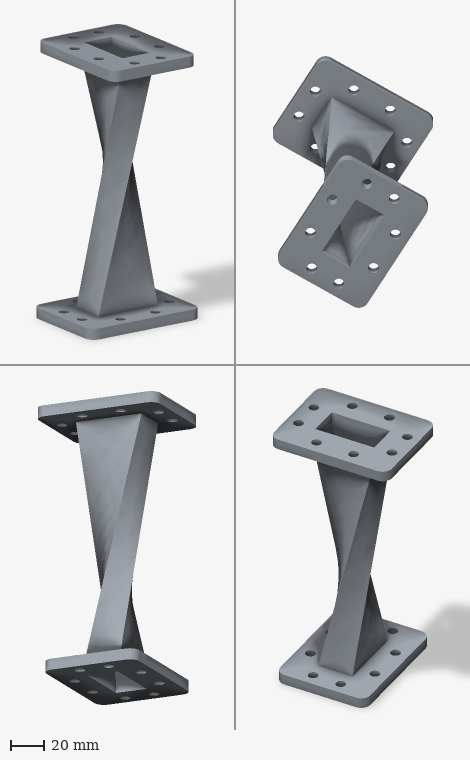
import cadquery as cq

total_length = 170.0

flange_long = 81.0
flange_short = 61.9
flange_thickness = 7.0
flange_corner_radius = 6.3

hole_diameter = 6.5
end_row_spacing = 64.5
end_hole_pitch = 19.0
side_row_spacing = 44.4
side_hole_pitch = 25.5

bore_long = 40.5
bore_short = 20.2
wall = 1.62
tube_long = bore_long + 2 * wall
tube_short = bore_short + 2 * wall

tube_bottom = flange_thickness
tube_top = total_length - flange_thickness


def flange():
    """Flange lying on the XY plane with its long side along X, bolt holes and bore cut through."""
    plate = (
        cq.Workplane("XY")
        .rect(flange_long, flange_short)
        .extrude(flange_thickness)
        .edges("|Z")
        .fillet(flange_corner_radius)
    )
    bolt_holes = (
        cq.Workplane("XY")
        .rarray(end_row_spacing, end_hole_pitch, 2, 2)
        .circle(hole_diameter / 2)
        .extrude(flange_thickness)
        .rarray(side_hole_pitch, side_row_spacing, 2, 2)
        .circle(hole_diameter / 2)
        .extrude(flange_thickness)
    )
    bore = cq.Workplane("XY").rect(bore_long, bore_short).extrude(flange_thickness)
    return plate.cut(bolt_holes).cut(bore)


def twisted_bar(long_side, short_side):
    """Rectangular bar between the flanges whose straight corner edges make a quarter turn."""
    half_long = long_side / 2
    half_short = short_side / 2
    corners = [
        (half_long, half_short),
        (-half_long, half_short),
        (-half_long, -half_short),
        (half_long, -half_short),
    ]
    top = [cq.Vector(x, y, tube_top) for x, y in corners]
    bottom = [cq.Vector(y, -x, tube_bottom) for x, y in corners]

    faces = [
        cq.Face.makeFromWires(cq.Wire.makePolygon(ring, close=True))
        for ring in (top, bottom)
    ]
    for i in range(len(corners)):
        top_edge = cq.Edge.makeLine(top[i - 1], top[i])
        bottom_edge = cq.Edge.makeLine(bottom[i - 1], bottom[i])
        faces.append(cq.Face.makeRuledSurface(top_edge, bottom_edge))
    return cq.Workplane(cq.Solid.makeSolid(cq.Shell.makeShell(faces)))


tube = twisted_bar(tube_long, tube_short).cut(twisted_bar(bore_long, bore_short))
bottom_flange = flange().rotate((0, 0, 0), (0, 0, 1), 90)
top_flange = flange().translate((0, 0, tube_top))

result = tube.union(bottom_flange).union(top_flange)